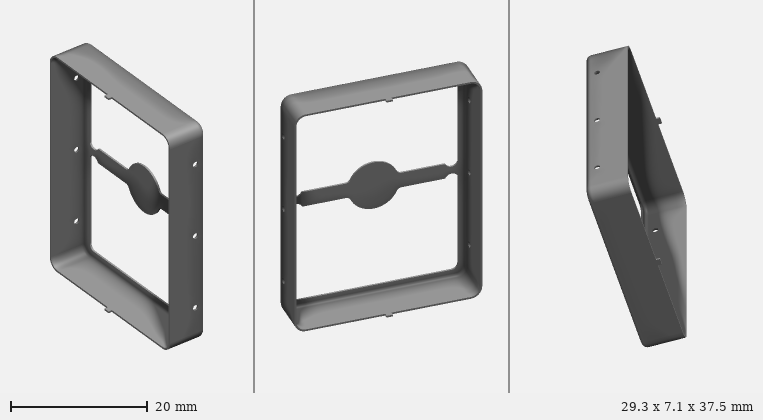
import cadquery as cq

WIDTH = 29.3
HEIGHT = 37.5
DEPTH = 6.5
WALL = 0.3
CORNER_RADIUS = 1.8
BACK_RADIUS = 0.8

RIM_WIDTH = 1.5
OPENING_WIDTH = WIDTH - 2 * RIM_WIDTH
OPENING_HEIGHT = HEIGHT - 2 * RIM_WIDTH
OPENING_FILLET = 1.0

BAR_HEIGHT = 2.5
DISC_RADIUS = 4.0
NECK_FILLET = 0.8
NOTCH_RADIUS = 1.1
NOTCH_INSET = 1.0
NOTCH_NECK = 1.2
NOTCH_X = OPENING_WIDTH / 2 - NOTCH_INSET
NOTCH_Z = NOTCH_NECK / 2 + NOTCH_RADIUS

HOLE_DIAMETER = 0.9
HOLE_SPACING = 12.5
HOLE_FROM_BACK = 1.8

TAB_WIDTH = 1.0
TAB_LENGTH = 0.6


def rounded_block(width, height, depth, corner_radius, back_radius):
    """Block from the open front at Y = 0 to Y = depth, rounded at its corners and back edge."""
    block = cq.Workplane("XY").box(width, depth, height).translate((0, depth / 2, 0))
    return block.edges("|Y").fillet(corner_radius).faces(">Y").edges().fillet(back_radius)


def make_tray():
    """Thin tray: four walls and a closed back, of even thickness."""
    outer = rounded_block(WIDTH, HEIGHT, DEPTH, CORNER_RADIUS, BACK_RADIUS)
    inner = rounded_block(
        WIDTH - 2 * WALL,
        HEIGHT - 2 * WALL,
        DEPTH - WALL,
        CORNER_RADIUS - WALL,
        BACK_RADIUS - WALL,
    )
    return outer.cut(inner)


def make_opening():
    """Prism that cuts the rounded window out of the back."""
    window = cq.Workplane("XY").box(OPENING_WIDTH, 2 * DEPTH, OPENING_HEIGHT)
    return window.translate((0, DEPTH, 0)).edges("|Y").fillet(OPENING_FILLET)


def make_bar():
    """Bar across the window, with a centre disc and a pair of round notches at each end."""
    back = cq.Workplane("XZ", origin=(0, DEPTH, 0))
    disc = back.circle(DISC_RADIUS).extrude(WALL)
    bar = back.rect(OPENING_WIDTH, BAR_HEIGHT).extrude(WALL).union(disc)
    neck_zone = cq.selectors.BoxSelector(
        (-DISC_RADIUS, 0, -BAR_HEIGHT),
        (DISC_RADIUS, DEPTH, BAR_HEIGHT),
    )
    bar = bar.edges("|Y").edges(neck_zone).fillet(NECK_FILLET)
    notch_centres = [(x, z) for x in (-NOTCH_X, NOTCH_X) for z in (-NOTCH_Z, NOTCH_Z)]
    notches = back.pushPoints(notch_centres).circle(NOTCH_RADIUS).extrude(WALL)
    return bar.cut(notches)


def make_side_holes():
    """Pins along X that cut three holes through both side walls."""
    hole_y = DEPTH - HOLE_FROM_BACK
    centres = [(hole_y, row * HOLE_SPACING) for row in (-1, 0, 1)]
    return cq.Workplane("YZ").pushPoints(centres).circle(HOLE_DIAMETER / 2).extrude(WIDTH, both=True)


def make_tab(side):
    """Tab that extends the top (side = 1) or bottom (side = -1) wall forward."""
    tab = cq.Workplane("XY").box(TAB_WIDTH, 2 * TAB_LENGTH, WALL)
    return tab.translate((0, 0, side * (HEIGHT - WALL) / 2))


frame = make_tray().cut(make_opening()).union(make_bar())
frame = frame.cut(make_side_holes())
for side in (-1, 1):
    frame = frame.union(make_tab(side))

result = frame